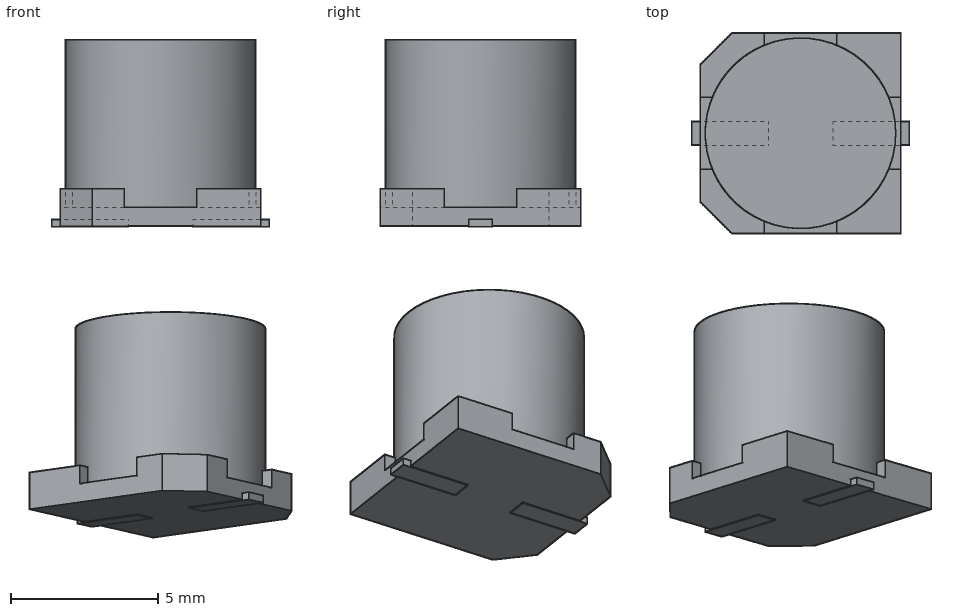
import cadquery as cq

overall_length = 7.39
overall_height = 6.35

base_side = 6.81
base_bottom = 0.03
base_top = 1.3
corner_chamfer = 1.09

notch_width = 2.45
seat_height = 0.67

can_diameter = 6.46

terminal_width = 0.8
terminal_thickness = 0.25
terminal_gap = 2.2
terminal_length = (overall_length - terminal_gap) / 2


def make_can():
    """Plain cylinder standing on the seat of the base."""
    return (
        cq.Workplane("XY")
        .workplane(offset=seat_height)
        .circle(can_diameter / 2)
        .extrude(overall_height - seat_height)
    )


def make_terminal(side):
    """Flat bar along X, on the +X (side = 1) or -X (side = -1) half."""
    center_x = side * (overall_length - terminal_length) / 2
    return cq.Workplane("XY").center(center_x, 0).box(
        terminal_length, terminal_width, terminal_thickness, centered=(True, True, False)
    )


def make_notch_cutter(length_x, length_y):
    """Block that opens a pair of opposite walls down to the seat."""
    return (
        cq.Workplane("XY")
        .workplane(offset=seat_height)
        .rect(length_x, length_y)
        .extrude(base_top - seat_height)
    )


def make_base(can, terminals):
    """Square block with two cut corners on -X, wall notches, can seat and terminal slots."""
    base = (
        cq.Workplane("XY")
        .workplane(offset=base_bottom)
        .rect(base_side, base_side)
        .extrude(base_top - base_bottom)
        .edges("|Z and <X")
        .chamfer(corner_chamfer)
    )
    base = base.cut(make_notch_cutter(base_side, notch_width))
    base = base.cut(make_notch_cutter(notch_width, base_side))
    base = base.cut(can)
    for terminal in terminals:
        base = base.cut(terminal)
    return base


can = make_can()
terminals = [make_terminal(side) for side in (-1, 1)]
base = make_base(can, terminals)

result = cq.Compound.makeCompound(
    [base.solids().val(), can.val(), *[terminal.val() for terminal in terminals]]
)